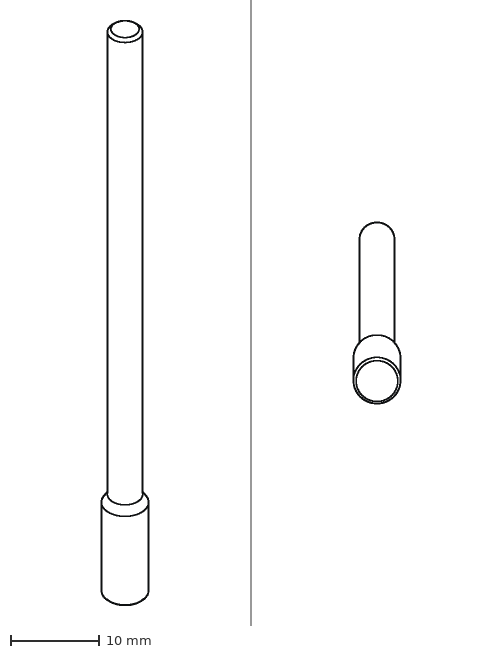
import cadquery as cq

total_length = 80.0
shaft_diameter = 4.0
head_diameter = 5.4

barrel_top = 12.9
shoulder_height = 1.1
head_length = barrel_top + shoulder_height
head_bottom_chamfer = 0.3

shaft_length = total_length - head_length
shaft_tip_chamfer = 0.4


def make_head():
    """Solid round head with a chamfered bottom and a conical shoulder."""
    head_radius = head_diameter / 2
    profile = (
        cq.Workplane("XZ")
        .lineTo(head_radius - head_bottom_chamfer, 0)
        .lineTo(head_radius, head_bottom_chamfer)
        .lineTo(head_radius, barrel_top)
        .lineTo(shaft_diameter / 2, head_length)
        .lineTo(0, head_length)
        .close()
    )
    return profile.revolve(360, (0, 0, 0), (0, 1, 0))


def make_shaft():
    """Plain round shaft standing on the flat top of the head, chamfered at its upper tip."""
    shaft = cq.Workplane("XY", origin=(0, 0, head_length)).circle(shaft_diameter / 2).extrude(shaft_length)
    return shaft.faces(">Z").chamfer(shaft_tip_chamfer)


head = make_head()
shaft = make_shaft()

result = cq.Compound.makeCompound([head.val(), shaft.val()])